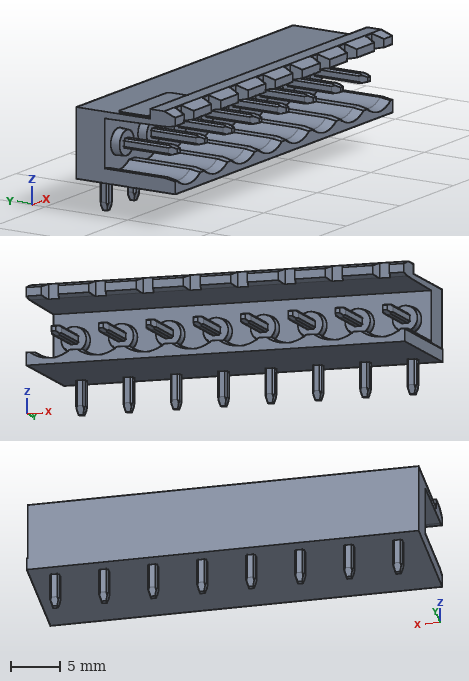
import cadquery as cq

poles = 8
length = 40.65
pitch = length / poles
depth = 12.0

floor_top = 1.55
wall_front = 8.55
roof_top = 7.5
ceiling_back = 6.8
ceiling_front = 6.95
latch_top = 8.55
latch_back = 3.05
latch_slope_start = 1.35
nose_top = 8.05
nose_bottom = 7.15
nose_underside_start = 0.95
lip_run = 1.2
lip_drop = 0.2
lip_bottom = floor_top - lip_drop
end_step = 0.1

scallop_radius = 3.25
scallop_flare = 0.25
scallop_axis_height = 4.1

notch_back = 1.25
notch_back_width = 1.15
notch_front_width = 1.8

pin_height = 3.85
collar_root_radius = 1.42
collar_tip_radius = 1.35
collar_length = 1.0

pad_left = 0.3
pad_length = 9.43
pad_front = 3.5
pad_width = 3.65
pad_thickness = 0.15
pad_corner_radius = 0.4

pin_width = 1.0
pin_corner = 0.2
pin_taper_length = 0.95
pin_tip_width = 0.5
pin_front = 1.2
pin_leg_y = 10.0
pin_leg_drop = 3.55

pole_positions = [(pole + 0.5) * pitch for pole in range(poles)]


def make_shell():
    """C-shaped profile with the latch on its upper arm, extruded along the row."""
    outline = [
        (0, 0),
        (depth, 0),
        (depth, roof_top),
        (latch_back, roof_top),
        (latch_back, latch_top),
        (latch_slope_start, latch_top),
        (0, nose_top),
        (0, nose_bottom),
        (nose_underside_start, ceiling_front),
        (wall_front, ceiling_back),
        (wall_front, floor_top),
        (lip_run, floor_top),
        (0, lip_bottom),
    ]
    return cq.Workplane("YZ").polyline(outline).close().extrude(length)


def make_end_relief():
    """Thin slice off the +X end that leaves the floor as a narrow ledge."""
    return (
        cq.Workplane("XY", origin=(length - end_step, 0, lip_bottom))
        .box(end_step, depth, latch_top - lip_bottom, centered=False)
    )


def make_scallop(x):
    """Round trough along the floor, flared into a cone over the front lip."""
    trough = (
        cq.Workplane("XZ", origin=(x, wall_front, scallop_axis_height))
        .circle(scallop_radius)
        .extrude(wall_front)
    )
    flare = cq.Workplane("XY").add(
        cq.Solid.makeCone(
            scallop_radius + scallop_flare,
            scallop_radius,
            lip_run,
            pnt=cq.Vector(x, 0, scallop_axis_height),
            dir=cq.Vector(0, 1, 0),
        )
    )
    below_pins = (
        cq.Workplane("XY", origin=(x, 0, 0))
        .box(pitch, wall_front, pin_height, centered=(True, False, False))
    )
    return trough.union(flare).intersect(below_pins)


def make_notch(x):
    """Wedge-shaped gap through the latch nose, wider at the front."""
    outline = [
        (x - notch_front_width / 2, 0),
        (x + notch_front_width / 2, 0),
        (x + notch_back_width / 2, notch_back),
        (x - notch_back_width / 2, notch_back),
    ]
    return (
        cq.Workplane("XY", origin=(0, 0, pin_height))
        .polyline(outline)
        .close()
        .extrude(latch_top - pin_height)
    )


def make_collar(x):
    """Slightly tapered boss on the wall around a pin."""
    cone = cq.Solid.makeCone(
        collar_root_radius,
        collar_tip_radius,
        collar_length,
        pnt=cq.Vector(x, wall_front, pin_height),
        dir=cq.Vector(0, -1, 0),
    )
    return cq.Workplane("XY").add(cone)


def make_label_pad():
    """Thin raised plate with rounded corners on the roof."""
    return (
        cq.Workplane("XY", origin=(pad_left, pad_front, roof_top))
        .rect(pad_length, pad_width, centered=False)
        .extrude(pad_thickness)
        .edges("|Z")
        .fillet(pad_corner_radius)
    )


def make_bar(bar_length):
    """Square bar with bevelled corners standing on its pyramid-shaped tip at the origin."""
    bar = (
        cq.Workplane("XY")
        .rect(pin_width, pin_width)
        .extrude(bar_length)
        .edges("|Z")
        .chamfer(pin_corner)
    )
    envelope = (
        cq.Workplane("XY")
        .rect(pin_tip_width, pin_tip_width)
        .workplane(offset=pin_taper_length)
        .rect(pin_width, pin_width)
        .loft()
        .faces(">Z")
        .workplane()
        .rect(pin_width, pin_width)
        .extrude(bar_length - pin_taper_length)
    )
    return bar.intersect(envelope)


def make_pin(x):
    """Right-angle pin: a contact arm pointing forward and a solder leg pointing down."""
    arm = (
        make_bar(pin_leg_y + pin_width / 2 - pin_front)
        .rotate((0, 0, 0), (1, 0, 0), -90)
        .translate((x, pin_front, pin_height))
    )
    leg = make_bar(pin_leg_drop + pin_height + pin_width / 2).translate((x, pin_leg_y, -pin_leg_drop))
    return arm.union(leg)


def make_housing(pins):
    """Complete housing with a matching passage for every pin."""
    housing = make_shell().cut(make_end_relief()).union(make_label_pad())
    for x in pole_positions:
        housing = housing.cut(make_scallop(x)).cut(make_notch(x)).union(make_collar(x))
    for pin in pins:
        housing = housing.cut(pin)
    return housing


pins = [make_pin(x) for x in pole_positions]
housing = make_housing(pins)

result = cq.Compound.makeCompound([housing.val(), *[pin.val() for pin in pins]])